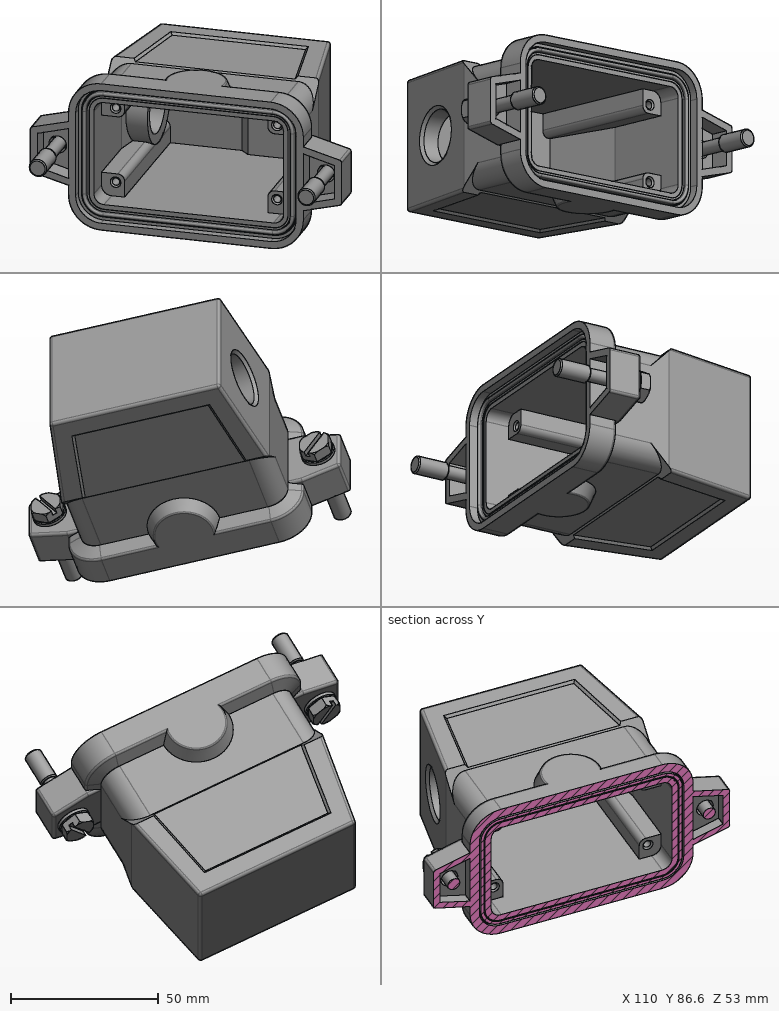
import cadquery as cq
import math


CORNER_X = 29.9
CORNER_Z = 15.0
FLANGE_R = 11.5
RIM_R = 9.0
LIP_R = 5.2
CAVITY_R = 3.5

BODY_HALF_X = 36.6
BODY_HALF_Z = 21.5
BODY_CORNER_R = 7.2

FLANGE_Y = 10.1
SHOULDER_Y = 12.1
FLANGE_ROUND = 0.9
SHELF_Y = 3.1
LIP_Y = 3.3

GROOVE_OUTER_R = 7.9
GROOVE_INNER_R = 5.9
GROOVE_Y = 4.4
BEAD_PATH_R = 6.8
BEAD_HALF_WIDTH = 0.7
BEAD_CROWN_Y = 2.6

HOOD_START_Y = 35.3
BACK_Y = 70.1
HOOD_HALF_Z = 22.9
HOOD_BACK_HALF_X = 30.0
HOOD_ROUND = 1.1

PANEL_DEPTH = 0.9
PANEL_DRAFT_WIDTH = 0.9
PANEL_BACK_Y = 62.9
PANEL_BACK_HALF_X = 24.3
PANEL_FRONT_HALF_X = 28.9

CAVITY_TAPER_Y = 35.2
FLOOR_Y = 65.7
FLOOR_STEP = 3.1

POST_Y = SHOULDER_Y
POST_SIZE = 8.1
POST_ROUND = 2.4
POST_HOLE_X = 28.5
POST_HOLE_Z = 13.4
POST_HOLE_R = 1.3
POST_HOLE_CHAMFER = 0.5
POST_HOLE_DEPTH = 11.0

CABLE_Y = 51.8
CABLE_R = 9.1
CABLE_CHAMFER = 1.1
CABLE_HOLE_DEPTH = 13.2
CABLE_BOSS_R = 13.2
CABLE_BOSS_END_X = -25.2

PAD_FOOT_R = 12.5
PAD_TOP_R = 10.3
PAD_ROUND = 0.5

EAR_TIP_X = 55.0
EAR_TIP_HALF_Z = 8.0
EAR_ROOT_HALF_Z = 11.5
EAR_ROUND = 1.0
POCKET_DEPTH = 7.0
POCKET_TIP_X = 52.5
POCKET_TIP_HALF_Z = 6.0
POCKET_ROOT_HALF_Z = 9.0

SCREW_X = 47.4
SCREW_TIP_Y = -16.5
THREAD_END_Y = -4.6
THREAD_R = 3.1
THREAD_CHAMFER = 0.4
SHANK_R = 2.3
COLLAR_R = 5.8
COLLAR_THICKNESS = 1.4
COLLAR_CHAMFER = 0.3
HEAD_FLATS = 10.1
HEAD_TURN = 30.0
HEAD_HEIGHT = 3.8
HEAD_CHAMFER = 0.5
SLOT_WIDTH = 1.5
SLOT_DEPTH = 1.9
SLOT_ANGLE = 57.0

flange_half_x = CORNER_X + FLANGE_R
flange_half_z = CORNER_Z + FLANGE_R
cavity_half_x = CORNER_X + CAVITY_R
cavity_half_z = CORNER_Z + CAVITY_R
hood_foot_y = HOOD_START_Y - (HOOD_HALF_Z - BODY_HALF_Z)
hood_slope = (BODY_HALF_X - HOOD_BACK_HALF_X) / (BACK_Y - hood_foot_y)


def prism_y(outline, y_start, y_end):
    """Extrude an (x, z) outline along Y."""
    return cq.Workplane("XZ", origin=(0, y_start, 0)).polyline(outline).close().extrude(y_start - y_end)


def cylinder(x, z, radius, y_start, y_end):
    """Cylinder parallel to Y."""
    return cq.Workplane("XZ", origin=(x, y_start, z)).circle(radius).extrude(y_start - y_end)


def frame(radius, y_start, y_end):
    """Rounded block around the shared corner centres."""
    return (
        cq.Workplane("XZ", origin=(0, y_start, 0))
        .rect(2 * (CORNER_X + radius), 2 * (CORNER_Z + radius))
        .extrude(y_start - y_end)
        .edges("|Y")
        .fillet(radius)
    )


def both_x(shape):
    return shape.union(shape.mirror("YZ"))


def both_z(shape):
    return shape.union(shape.mirror("XY"))


def make_flange():
    """Flange whose sloped shoulder rises to the body, with a rounded outer edge."""
    shoulder_rise = SHOULDER_Y - FLANGE_Y
    shoulder_run = flange_half_z - BODY_HALF_Z
    flange = frame(FLANGE_R, 0, SHOULDER_Y).faces(">Y").chamfer(shoulder_rise, shoulder_run)
    margin = shoulder_rise / 4
    shoulder_foot = cq.selectors.BoxSelector(
        (-EAR_TIP_X, FLANGE_Y - margin, -EAR_TIP_X), (EAR_TIP_X, FLANGE_Y + margin, EAR_TIP_X)
    )
    return flange.edges(shoulder_foot).fillet(FLANGE_ROUND)


def make_body():
    return (
        cq.Workplane("XZ", origin=(0, SHELF_Y, 0))
        .rect(2 * BODY_HALF_X, 2 * BODY_HALF_Z)
        .extrude(SHELF_Y - hood_foot_y)
        .edges("|Y")
        .fillet(BODY_CORNER_R)
    )


def make_hood():
    """Tapered back part; its 45 degree underside runs in to the rounded body corners."""
    block = (
        cq.Workplane("XY", origin=(0, 0, -HOOD_HALF_Z))
        .polyline([
            (-BODY_HALF_X, hood_foot_y),
            (BODY_HALF_X, hood_foot_y),
            (HOOD_BACK_HALF_X, BACK_Y),
            (-HOOD_BACK_HALF_X, BACK_Y),
        ])
        .close()
        .extrude(2 * HOOD_HALF_Z)
        .edges("not <Y")
        .fillet(HOOD_ROUND)
    )
    wedge_y = hood_foot_y - BODY_CORNER_R
    side_profile = [
        (wedge_y, BODY_HALF_Z - BODY_CORNER_R),
        (HOOD_START_Y, HOOD_HALF_Z),
        (BACK_Y, HOOD_HALF_Z),
        (BACK_Y, -HOOD_HALF_Z),
        (HOOD_START_Y, -HOOD_HALF_Z),
        (wedge_y, BODY_CORNER_R - BODY_HALF_Z),
    ]
    side_prism = cq.Workplane("YZ").polyline(side_profile).close().extrude(BODY_HALF_X, both=True)
    wedge = cq.Workplane("XY", origin=(0, wedge_y, 0)).box(
        2 * BODY_HALF_X, BODY_CORNER_R, 2 * BODY_HALF_Z, centered=(True, False, True)
    )
    return block.union(wedge).intersect(side_prism)


def make_panel():
    """Shallow recess with sloped walls, open toward the underside of the hood."""
    panel_slope = (PANEL_FRONT_HALF_X - PANEL_BACK_HALF_X) / (PANEL_BACK_Y - HOOD_START_Y)
    open_y = hood_foot_y - PANEL_DRAFT_WIDTH
    open_half_x = PANEL_BACK_HALF_X + panel_slope * (PANEL_BACK_Y - open_y)
    draft_angle = math.degrees(math.atan(PANEL_DRAFT_WIDTH / PANEL_DEPTH))
    return (
        cq.Workplane("XY", origin=(0, 0, HOOD_HALF_Z))
        .polyline([
            (-open_half_x, open_y),
            (open_half_x, open_y),
            (PANEL_BACK_HALF_X, PANEL_BACK_Y),
            (-PANEL_BACK_HALF_X, PANEL_BACK_Y),
        ])
        .close()
        .extrude(-PANEL_DEPTH, taper=draft_angle)
    )


def make_pad():
    """Conical pad, flush with the flange side."""
    return (
        cq.Workplane("XY", origin=(0, SHOULDER_Y, BODY_HALF_Z))
        .circle(PAD_FOOT_R)
        .workplane(offset=flange_half_z - BODY_HALF_Z)
        .circle(PAD_TOP_R)
        .loft()
        .faces(">Z")
        .edges()
        .fillet(PAD_ROUND)
        .intersect(frame(FLANGE_R, 0, hood_foot_y))
    )


def make_ear():
    """Tapered ear on the +X side, still solid."""
    outline = [
        (CORNER_X, EAR_ROOT_HALF_Z),
        (flange_half_x, EAR_ROOT_HALF_Z),
        (EAR_TIP_X, EAR_TIP_HALF_Z),
        (EAR_TIP_X, -EAR_TIP_HALF_Z),
        (flange_half_x, -EAR_ROOT_HALF_Z),
        (CORNER_X, -EAR_ROOT_HALF_Z),
    ]
    ear = prism_y(outline, 0, SHOULDER_Y)
    ear = ear.edges("|Y and >X").fillet(EAR_ROUND)
    return ear.faces(">Y").edges("not <X").fillet(EAR_ROUND)


def make_ear_pocket():
    """Hollow under the ear with a clearance hole for the screw thread."""
    outline = [
        (flange_half_x, POCKET_ROOT_HALF_Z),
        (POCKET_TIP_X, POCKET_TIP_HALF_Z),
        (POCKET_TIP_X, -POCKET_TIP_HALF_Z),
        (flange_half_x, -POCKET_ROOT_HALF_Z),
    ]
    screw_hole = cylinder(SCREW_X, 0, THREAD_R, POCKET_DEPTH, SHOULDER_Y)
    return prism_y(outline, 0, POCKET_DEPTH).union(screw_hole)


def make_post():
    """Square post in the +X +Z cavity corner with its free corner rounded."""
    return (
        cq.Workplane("XZ", origin=(cavity_half_x, POST_Y, cavity_half_z))
        .rect(-POST_SIZE, -POST_SIZE, centered=False)
        .extrude(POST_Y - FLOOR_Y)
        .edges("|Y and <X and <Z")
        .fillet(POST_ROUND)
    )


def make_chamfered_hole(mouth_plane, radius, chamfer, depth):
    """Round hole tool along the plane normal, widened by a chamfer at its mouth."""
    hole = cq.Workplane(mouth_plane).circle(radius).extrude(depth)
    mouth = (
        cq.Workplane(mouth_plane)
        .circle(radius + chamfer)
        .workplane(offset=chamfer)
        .circle(radius)
        .loft()
    )
    return hole.union(mouth)


def make_post_hole():
    mouth_plane = cq.Plane(origin=(POST_HOLE_X, POST_Y, POST_HOLE_Z), xDir=(0, 0, 1), normal=(0, 1, 0))
    return make_chamfered_hole(mouth_plane, POST_HOLE_R, POST_HOLE_CHAMFER, POST_HOLE_DEPTH)


def make_cavity():
    """Space inside the housing, around the posts and the cable boss."""
    shallow_y = FLOOR_Y - FLOOR_STEP
    deep_half_x = cavity_half_x - hood_slope * (FLOOR_Y - CAVITY_TAPER_Y)
    shallow_half_x = cavity_half_x - hood_slope * (shallow_y - CAVITY_TAPER_Y)
    plan = [
        (-cavity_half_x, 0),
        (-cavity_half_x, CAVITY_TAPER_Y),
        (-deep_half_x, FLOOR_Y),
        (0, FLOOR_Y),
        (FLOOR_STEP, shallow_y),
        (shallow_half_x, shallow_y),
        (cavity_half_x, CAVITY_TAPER_Y),
        (cavity_half_x, 0),
    ]
    plan_prism = cq.Workplane("XY").polyline(plan).close().extrude(cavity_half_z, both=True)
    posts = both_z(both_x(make_post()))
    boss = (
        cq.Workplane("YZ", origin=(-BODY_HALF_X, CABLE_Y, 0))
        .circle(CABLE_BOSS_R)
        .extrude(CABLE_BOSS_END_X + BODY_HALF_X)
    )
    return frame(CAVITY_R, SHELF_Y, FLOOR_Y).intersect(plan_prism).cut(posts).cut(boss)


def make_cable_hole():
    """Chamfered hole square to the tapered side of the hood."""
    face_x = -BODY_HALF_X + hood_slope * (CABLE_Y - hood_foot_y)
    mouth_plane = cq.Plane(origin=(face_x, CABLE_Y, 0), xDir=(0, 0, 1), normal=(1, -hood_slope, 0))
    return make_chamfered_hole(mouth_plane, CABLE_R, CABLE_CHAMFER, CABLE_HOLE_DEPTH)


def make_groove():
    return frame(GROOVE_OUTER_R, SHELF_Y, GROOVE_Y).cut(frame(GROOVE_INNER_R, SHELF_Y, GROOVE_Y))


def make_seal():
    """Sweep the bead section once around the groove."""
    path = frame(BEAD_PATH_R, 0, GROOVE_Y).faces(">Y").wires()
    return (
        cq.Workplane("XY", origin=(CORNER_X + BEAD_PATH_R, 0, 0))
        .moveTo(-BEAD_HALF_WIDTH, GROOVE_Y)
        .lineTo(-BEAD_HALF_WIDTH, BEAD_CROWN_Y)
        .threePointArc((0, BEAD_CROWN_Y - BEAD_HALF_WIDTH), (BEAD_HALF_WIDTH, BEAD_CROWN_Y))
        .lineTo(BEAD_HALF_WIDTH, GROOVE_Y)
        .close()
        .sweep(path)
    )


def make_screw():
    """Slotted hexagon screw on the +X side."""
    thread = (
        cylinder(SCREW_X, 0, THREAD_R, SCREW_TIP_Y, THREAD_END_Y)
        .faces("<Y or >Y")
        .chamfer(THREAD_CHAMFER)
    )
    shank = cylinder(SCREW_X, 0, SHANK_R, THREAD_END_Y, SHOULDER_Y)
    head_y = SHOULDER_Y + COLLAR_THICKNESS
    head_top_y = head_y + HEAD_HEIGHT
    head_corner_r = HEAD_FLATS / math.sqrt(3)
    collar = cylinder(SCREW_X, 0, COLLAR_R, SHOULDER_Y, head_y).faces(">Y").chamfer(COLLAR_CHAMFER)
    hexagon = (
        cq.Workplane("XZ", origin=(SCREW_X, head_y, 0))
        .transformed(rotate=(0, 0, HEAD_TURN))
        .polygon(6, 2 * head_corner_r)
        .extrude(-HEAD_HEIGHT)
    )
    crown = cylinder(SCREW_X, 0, head_corner_r, head_y, head_top_y).faces(">Y").chamfer(HEAD_CHAMFER)
    slot = (
        cq.Workplane("XZ", origin=(SCREW_X, head_top_y, 0))
        .transformed(rotate=(0, 0, SLOT_ANGLE))
        .rect(2 * COLLAR_R, SLOT_WIDTH)
        .extrude(SLOT_DEPTH)
    )
    head = hexagon.intersect(crown).cut(slot)
    return thread.union(shank).union(collar).union(head)


housing = (
    make_flange()
    .union(both_x(make_ear()))
    .union(make_body())
    .union(make_hood())
    .union(both_z(make_pad()))
    .cut(both_z(make_panel()))
    .cut(frame(RIM_R, 0, SHELF_Y))
    .cut(frame(LIP_R, SHELF_Y, LIP_Y))
    .cut(make_groove())
    .cut(make_cavity())
    .cut(both_z(both_x(make_post_hole())))
    .cut(make_cable_hole())
    .cut(both_x(make_ear_pocket()))
)

result = housing.union(make_seal()).union(both_x(make_screw()))